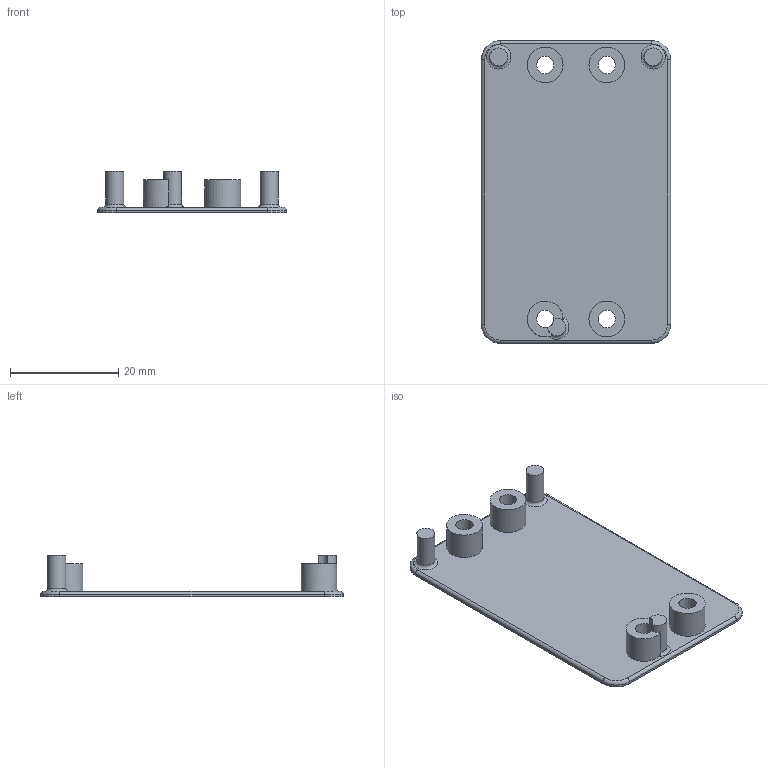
import cadquery as cq

plate_width = 35.0
plate_length = 56.0
plate_thickness = 1.0
corner_radius = 3.5
edge_fillet = 0.6

total_height = 7.7
pin_diameter = 3.3
pin_base_fillet = 0.6
corner_pin_x = 14.29
pin_y = 25.0
offset_pin_x = -3.575
pin_centres = [
    (-corner_pin_x, pin_y),
    (corner_pin_x, pin_y),
    (offset_pin_x, -pin_y),
]

boss_diameter = 6.6
boss_top = 6.1
screw_hole_diameter = 3.2
boss_spacing_x = 11.4
boss_spacing_y = 47.0


def make_plate():
    """Rounded rectangular plate standing on Z = 0, with a rounded upper rim."""
    plate = cq.Workplane("XY").box(
        plate_width, plate_length, plate_thickness, centered=(True, True, False)
    )
    plate = plate.edges("|Z").fillet(corner_radius)
    return plate.faces(">Z").edges().fillet(edge_fillet)


def make_pin(x, y):
    """Round pin with a concave fillet where it meets the plate."""
    pin_radius = pin_diameter / 2
    foot_radius = pin_radius + pin_base_fillet
    fillet_top = plate_thickness + pin_base_fillet
    profile = (
        cq.Workplane("XZ")
        .lineTo(pin_radius, 0)
        .lineTo(foot_radius, plate_thickness)
        .radiusArc((pin_radius, fillet_top), pin_base_fillet)
        .lineTo(pin_radius, total_height)
        .lineTo(0, total_height)
        .close()
    )
    return profile.revolve(360, (0, 0), (0, 1)).translate((x, y, 0))


def boss_cylinders(diameter, height):
    """Upright cylinders from Z = 0 at the four boss centres."""
    return (
        cq.Workplane("XY")
        .rarray(boss_spacing_x, boss_spacing_y, 2, 2)
        .circle(diameter / 2)
        .extrude(height)
    )


result = make_plate().union(boss_cylinders(boss_diameter, boss_top))
for centre_x, centre_y in pin_centres:
    result = result.union(make_pin(centre_x, centre_y))

result = result.cut(boss_cylinders(screw_hole_diameter, total_height))